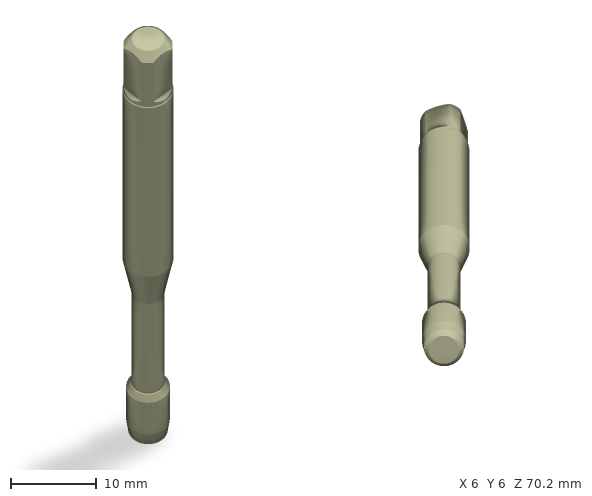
import cadquery as cq

total_length = 70.2

chamfer_top = 0.6
lead_top = 2.7
head_cone_bottom = 8.3
head_top = 9.2
neck_top = 25.2
shank_bottom = 31.25
shank_top = 61.3
flat_bottom = 62.3

tip_diameter = 3.5
lead_diameter = 4.6
head_diameter = 5.1
head_end_diameter = 4.15
neck_diameter = 3.85
shank_diameter = 6.0
drive_diameter = 5.75
end_diameter = 3.7

across_flats = 4.9
flat_count = 4


def turned(profile):
    """Revolve (diameter, height) points, closed along the axis, about Z."""
    points = [(0, profile[0][1])]
    points += [(diameter / 2, height) for diameter, height in profile]
    points.append((0, profile[-1][1]))
    return cq.Workplane("XZ").polyline(points).close().revolve(360, (0, 0), (0, 1))


def flat_cutter(angle):
    """Wedge-floored block that cuts one drive flat, its floor sloping down outward at 45 degrees."""
    inner = across_flats / 2
    outer = shank_diameter
    floor_drop = outer - inner
    return (
        cq.Workplane("XZ")
        .moveTo(inner, flat_bottom)
        .lineTo(outer, flat_bottom - floor_drop)
        .lineTo(outer, total_length)
        .lineTo(inner, total_length)
        .close()
        .extrude(shank_diameter / 2, both=True)
        .rotate((0, 0, 0), (0, 0, 1), angle)
    )


def make_head():
    """Cylindrical working head with a lead taper, a chamfered tip and a conical top."""
    return turned([
        (tip_diameter, 0),
        (lead_diameter, chamfer_top),
        (head_diameter, lead_top),
        (head_diameter, head_cone_bottom),
        (head_end_diameter, head_top),
    ])


def make_shank():
    """Neck, shank and square drive, standing on the head."""
    shoulder_chamfer = (shank_diameter - drive_diameter) / 2
    end_chamfer = (drive_diameter - end_diameter) / 2
    shank = turned([
        (neck_diameter, head_top),
        (neck_diameter, neck_top),
        (shank_diameter, shank_bottom),
        (shank_diameter, shank_top),
        (drive_diameter, shank_top + shoulder_chamfer),
        (drive_diameter, total_length - end_chamfer),
        (end_diameter, total_length),
    ])
    for index in range(flat_count):
        shank = shank.cut(flat_cutter(index * 360 / flat_count))
    return shank


head = make_head()
shank = make_shank()
result = cq.Compound.makeCompound([head.val(), shank.val()])